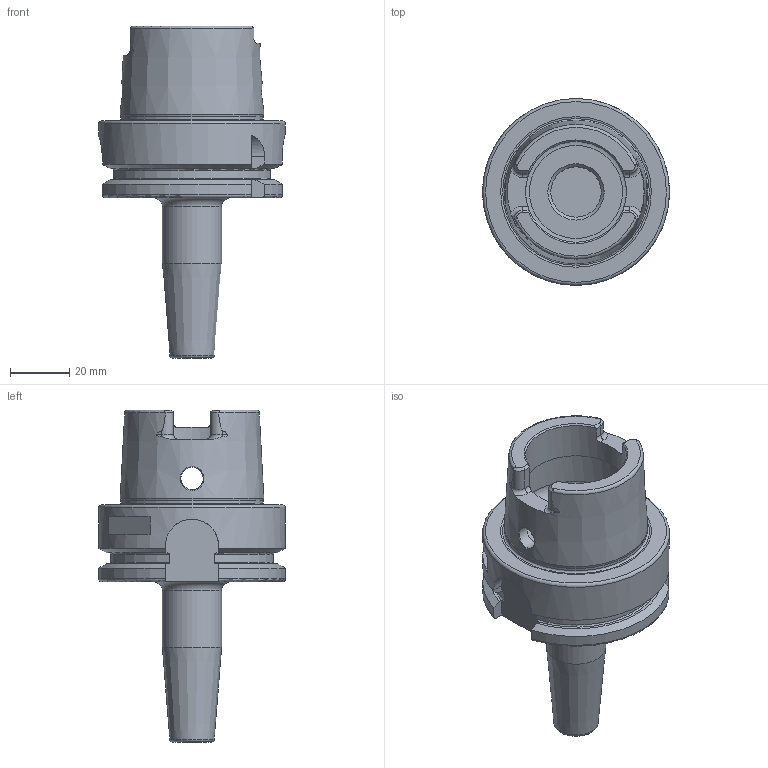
import cadquery as cq
import math


shank_height = 32.0
gauge_radius = 24.32
taper_slope = 1 / 20
rim_round = 1.0
rim_chamfer = 0.5
relief_radius = 24.05
relief_top = 1.5
relief_cone_top = 2.3
relief_fillet = 0.7
relief_depth = 0.15
relief_outer_radius = 25.4

bore_radius = 17.0
chamber_top = 19.0
chamber_radius = 20.0
chamber_fillet = 4.3
cavity_floor = 2.0
pipe_hole_radius = 8.5
pipe_hole_chamfer = 1.0
pipe_hole_depth = 12.0

flange_radius = 31.5
flange_height = 26.0
flange_round = 1.0
groove_centre = -18.0
groove_radius = 27.55
groove_lip_radius = 29.0
groove_half_width = 1.9
groove_mouth_half_width = 3.35
groove_fillet = 0.5

nose_length = 80.0
neck_radius = 10.0
neck_fillet = 3.0
nose_cone_start = -48.0
nose_tip_radius = 7.5
nose_round = 1.0

drive_half_width = 6.25
drive_wall_end = 18.1
drive_mouth_radius = 2.8
drive_tail_angle = 27.0
drive_tail_length = 6.0
drive_floor_fillet = 1.4
drive_rim_chamfer = 0.8
drive_deep_floor = 22.2
drive_shallow_floor = 26.1

cross_hole_diameter = 7.5
cross_hole_chamfer = 0.25
cross_hole_height = 8.9

wide_key_width = 18.0
wide_key_floor = 26.5
wide_key_top = -4.8
narrow_key_width = 16.0
narrow_key_floor = 20.0
narrow_key_top = -4.0
notch_wall = -19.8

chip_flat_distance = 29.9
chip_flat_top = -4.0
chip_flat_bottom = -10.0
chip_flat_angle = 135.0

margin = 5.0

profile_plane = cq.Plane(origin=(0, 0, 0), xDir=(0, -1, 0), normal=(-1, 0, 0))


def shank_radius(height):
    return gauge_radius - taper_slope * height


def point_on_arc(centre, radius, degrees):
    angle = math.radians(degrees)
    return (centre[0] + radius * math.cos(angle), centre[1] + radius * math.sin(angle))


def make_body():
    """Turned outside shape, from the shank rim down to the nose tip."""
    rim_radius = shank_radius(shank_height)
    rim_centre = (rim_radius - rim_round, shank_height - rim_round)
    relief_centre = (relief_radius + relief_fillet, relief_fillet - relief_depth)
    top_centre = (flange_radius - flange_round, -flange_round)
    bottom_centre = (flange_radius - flange_round, -flange_height + flange_round)
    neck_centre = (neck_radius + neck_fillet, -flange_height - neck_fillet)
    tip_centre = (nose_tip_radius - nose_round, -nose_length + nose_round)
    groove_top = groove_centre + groove_half_width
    groove_bottom = groove_centre - groove_half_width
    groove_upper_centre = (groove_radius + groove_fillet, groove_top - groove_fillet)
    groove_lower_centre = (groove_radius + groove_fillet, groove_bottom + groove_fillet)

    profile = (
        cq.Workplane(profile_plane)
        .moveTo(0, shank_height)
        .lineTo(rim_centre[0], shank_height)
        .threePointArc(point_on_arc(rim_centre, rim_round, 45), (rim_radius, rim_centre[1]))
        .lineTo(shank_radius(relief_cone_top), relief_cone_top)
        .lineTo(relief_radius, relief_top)
        .lineTo(relief_radius, relief_centre[1])
        .threePointArc(
            point_on_arc(relief_centre, relief_fillet, 225), (relief_centre[0], -relief_depth)
        )
        .lineTo(relief_outer_radius, 0)
        .lineTo(top_centre[0], 0)
        .threePointArc(point_on_arc(top_centre, flange_round, 45), (flange_radius, top_centre[1]))
        .lineTo(flange_radius, groove_centre + groove_mouth_half_width)
        .lineTo(groove_lip_radius, groove_top)
        .lineTo(groove_upper_centre[0], groove_top)
        .threePointArc(
            point_on_arc(groove_upper_centre, groove_fillet, 135), (groove_radius, groove_upper_centre[1])
        )
        .lineTo(groove_radius, groove_lower_centre[1])
        .threePointArc(
            point_on_arc(groove_lower_centre, groove_fillet, 225), (groove_lower_centre[0], groove_bottom)
        )
        .lineTo(groove_lip_radius, groove_bottom)
        .lineTo(flange_radius, groove_centre - groove_mouth_half_width)
        .lineTo(flange_radius, bottom_centre[1])
        .threePointArc(point_on_arc(bottom_centre, flange_round, -45), (bottom_centre[0], -flange_height))
        .lineTo(neck_centre[0], -flange_height)
        .threePointArc(point_on_arc(neck_centre, neck_fillet, 135), (neck_radius, neck_centre[1]))
        .lineTo(neck_radius, nose_cone_start)
        .lineTo(nose_tip_radius, tip_centre[1])
        .threePointArc(point_on_arc(tip_centre, nose_round, -45), (tip_centre[0], -nose_length))
        .lineTo(0, -nose_length)
        .close()
    )
    return profile.revolve(360, (0, 0, 0), (0, 1, 0))


def make_cavity():
    """Bore, wider clamping chamber below it and blind pipe hole in the chamber floor."""
    fillet_centre = (chamber_radius - chamber_fillet, cavity_floor + chamber_fillet)
    profile = (
        cq.Workplane(profile_plane)
        .moveTo(0, shank_height)
        .lineTo(bore_radius + rim_chamfer, shank_height)
        .lineTo(bore_radius, shank_height - rim_chamfer)
        .lineTo(bore_radius, chamber_top)
        .lineTo(chamber_radius, chamber_top)
        .lineTo(chamber_radius, fillet_centre[1])
        .threePointArc(
            point_on_arc(fillet_centre, chamber_fillet, -45), (fillet_centre[0], cavity_floor)
        )
        .lineTo(pipe_hole_radius + pipe_hole_chamfer, cavity_floor)
        .lineTo(pipe_hole_radius, cavity_floor - pipe_hole_chamfer)
        .lineTo(pipe_hole_radius, cavity_floor - pipe_hole_depth)
        .lineTo(0, cavity_floor - pipe_hole_depth)
        .close()
    )
    return profile.revolve(360, (0, 0, 0), (0, 1, 0))


def mirrored(point):
    return (point[0], -point[1])


def drive_outline(height, growth):
    """Plan of a +X drive slot whose mouth rounds off; growth moves its walls outward."""
    half_width = drive_half_width + growth
    mouth_radius = drive_mouth_radius - growth
    centre = (drive_wall_end, drive_half_width + drive_mouth_radius)
    lean = math.radians(drive_tail_angle)
    mouth_middle = point_on_arc(centre, mouth_radius, (drive_tail_angle - 90) / 2)
    mouth_end = point_on_arc(centre, mouth_radius, drive_tail_angle)
    tail_end = (
        mouth_end[0] - drive_tail_length * math.sin(lean),
        mouth_end[1] + drive_tail_length * math.cos(lean),
    )
    inner_end = bore_radius - margin
    outer_end = gauge_radius + margin
    return (
        cq.Workplane("XY", origin=(0, 0, height))
        .moveTo(inner_end, -half_width)
        .lineTo(drive_wall_end, -half_width)
        .threePointArc(mirrored(mouth_middle), mirrored(mouth_end))
        .lineTo(*mirrored(tail_end))
        .lineTo(outer_end, -tail_end[1])
        .lineTo(outer_end, tail_end[1])
        .lineTo(*tail_end)
        .lineTo(*mouth_end)
        .threePointArc(mouth_middle, (drive_wall_end, half_width))
        .lineTo(inner_end, half_width)
        .close()
    )


def make_drive_slot(floor):
    """Cutter for a +X drive slot with a filleted floor and a chamfered rim."""
    slot = drive_outline(floor, 0).extrude(shank_height + margin - floor)
    selection_gap = 0.5
    wall_foot = cq.selectors.BoxSelector(
        (bore_radius - margin + selection_gap, -bore_radius, floor - selection_gap),
        (drive_wall_end + drive_mouth_radius + selection_gap, bore_radius, floor + selection_gap),
    )
    slot = slot.edges(wall_foot).fillet(drive_floor_fillet)
    chamfer = cq.Solid.makeLoft(
        [
            drive_outline(shank_height - drive_rim_chamfer, 0).wire().val(),
            drive_outline(shank_height, drive_rim_chamfer).wire().val(),
        ],
        True,
    )
    return slot.union(cq.Workplane(obj=chamfer))


def make_keyway(width, floor, top, centre_y=0):
    """Cutter for a round-topped +X keyway open at the bottom of the flange."""
    half_width = width / 2
    arch_centre = top - half_width
    length = flange_radius + margin - floor
    bottom = -flange_height - margin
    return (
        cq.Workplane("YZ", origin=(floor, centre_y, 0))
        .moveTo(-half_width, bottom)
        .lineTo(half_width, bottom)
        .lineTo(half_width, arch_centre)
        .threePointArc((0, top), (-half_width, arch_centre))
        .close()
        .extrude(length)
    )


def make_chip_flat():
    """Cutter for the flat recess on the flange rim."""
    height = chip_flat_top - chip_flat_bottom
    block = cq.Workplane("XY", origin=(chip_flat_distance, 0, chip_flat_bottom)).box(
        margin, flange_radius, height, centered=(False, True, False)
    )
    return block.rotate((0, 0, 0), (0, 0, 1), chip_flat_angle)


def drill_cross_hole(body):
    """Hole along X through both shank walls, chamfered where it leaves the taper."""
    hole = (
        cq.Workplane("YZ", origin=(0, 0, cross_hole_height))
        .circle(cross_hole_diameter / 2)
        .extrude(gauge_radius + margin, both=True)
    )
    body = body.cut(hole)
    reach = cross_hole_diameter / 2 + cross_hole_chamfer
    for side in (-1, 1):
        mouth_x = side * gauge_radius
        mouth_edge = cq.selectors.BoxSelector(
            (mouth_x - margin / 2, -reach, cross_hole_height - reach),
            (mouth_x + margin / 2, reach, cross_hole_height + reach),
        )
        body = body.edges(mouth_edge).chamfer(cross_hole_chamfer)
    return body


def half_turn(cutter):
    return cutter.rotate((0, 0, 0), (0, 0, 1), 180)


cutters = [
    make_cavity(),
    make_drive_slot(drive_shallow_floor),
    half_turn(make_drive_slot(drive_deep_floor)),
    half_turn(make_keyway(wide_key_width, wide_key_floor, wide_key_top)),
    make_keyway(narrow_key_width, narrow_key_floor, narrow_key_top),
    make_keyway(narrow_key_width, narrow_key_floor, narrow_key_top, notch_wall - narrow_key_width / 2),
    make_chip_flat(),
]

result = make_body()
for cutter in cutters:
    result = result.cut(cutter)
result = drill_cross_hole(result)